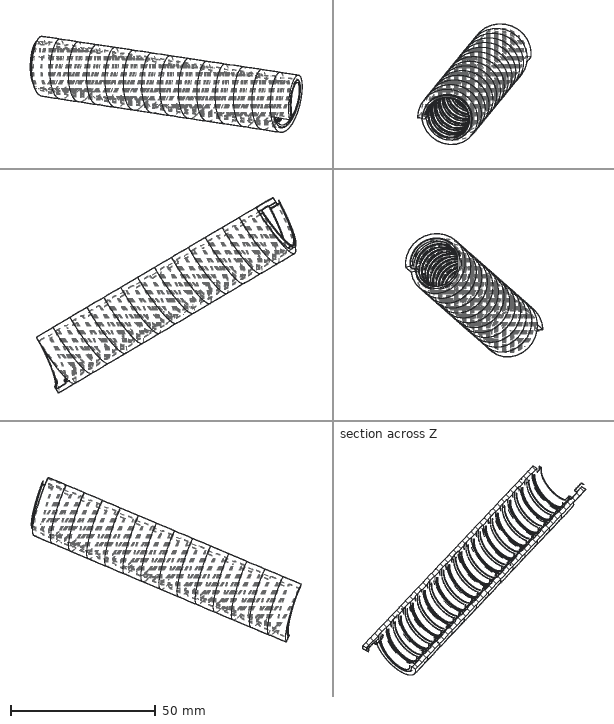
import cadquery as cq
import math


pitch = 6.85
end_angle = 8.4
turns = 13.5 + end_angle / 360
total_length = 100.73

sheet = 0.18
inner_bend = sheet
outer_bend = inner_bend + sheet
bore_radius = 14.7 / 2
crown_radius = 17.6 / 2
base_top = bore_radius + sheet
crown_bottom = crown_radius - sheet
left_hook_tip = crown_radius - outer_bend
channel_radius = crown_radius - outer_bend
right_hook_tip = bore_radius + outer_bend

strip_width = total_length - turns * pitch
overlap = strip_width - pitch
strip_start = -overlap
strip_end = pitch
web_left = strip_start + (strip_width - sheet) / 2
web_right = web_left + sheet

valley_radius = 20.6 / 2
ridge_radius = 20.7 / 2
ramp_width = 0.9
ridge_width = pitch / 2 - ramp_width
ridge_start = 3.02
ridge_end = ridge_start + ridge_width

hose_axis = cq.Plane(origin=(0, 0, 0), xDir=(0, 1, 0), normal=(1, 0, 0))


def wind(outline):
    """Sweep an outline along the helix, then lay the helix axis along X."""
    path = cq.Wire.makeHelix(pitch, turns * pitch, bore_radius, cq.Vector(0, 0, pitch / 2))
    body = outline.sweep(cq.Workplane(path), isFrenet=True).val()
    return cq.Workplane(body.moved(cq.Location(hose_axis)))


def rounded_outline(corners):
    """Closed outline through square corners (radius, place, bend); a bend of zero stays sharp."""
    first_radius, first_place, _ = corners[0]
    outline = cq.Workplane("XZ").moveTo(first_radius, first_place)
    for index in range(1, len(corners)):
        before, here, after = (cq.Vector(*corners[(index + step) % len(corners)][:2]) for step in (-1, 0, 1))
        bend = corners[index][2]
        if bend == 0:
            outline = outline.lineTo(here.x, here.y)
            continue
        back = (before - here).normalized()
        ahead = (after - here).normalized()
        arc_start = here + back * bend
        arc_middle = here + (back + ahead) * bend * (1 - math.sqrt(0.5))
        arc_end = here + ahead * bend
        outline = outline.lineTo(arc_start.x, arc_start.y)
        outline = outline.threePointArc((arc_middle.x, arc_middle.y), (arc_end.x, arc_end.y))
    return outline.close()


def make_strip():
    return wind(rounded_outline([
        (left_hook_tip, strip_start, 0),
        (left_hook_tip, strip_start + sheet, 0),
        (base_top, strip_start + sheet, inner_bend),
        (base_top, web_left, inner_bend),
        (crown_radius, web_left, outer_bend),
        (crown_radius, strip_end, outer_bend),
        (right_hook_tip, strip_end, 0),
        (right_hook_tip, strip_end - sheet, 0),
        (crown_bottom, strip_end - sheet, inner_bend),
        (crown_bottom, web_right, inner_bend),
        (bore_radius, web_right, outer_bend),
        (bore_radius, strip_start, outer_bend),
    ]))


def make_cover():
    bend_middle = outer_bend * math.sqrt(0.5)
    outline = (
        cq.Workplane("XZ")
        .moveTo(channel_radius, 0)
        .lineTo(valley_radius, 0)
        .lineTo(valley_radius, ridge_start - ramp_width)
        .lineTo(ridge_radius, ridge_start)
        .lineTo(ridge_radius, ridge_end)
        .lineTo(valley_radius, ridge_end + ramp_width)
        .lineTo(valley_radius, pitch)
        .lineTo(channel_radius, pitch)
        .threePointArc(
            (channel_radius + bend_middle, pitch - outer_bend + bend_middle),
            (crown_radius, pitch - outer_bend),
        )
        .lineTo(crown_radius, web_left + outer_bend)
        .threePointArc(
            (channel_radius + bend_middle, web_left + outer_bend - bend_middle),
            (channel_radius, web_left),
        )
        .close()
    )
    return wind(outline)


strip = make_strip()
cover = make_cover()
result = cq.Compound.makeCompound([strip.val(), cover.val()])